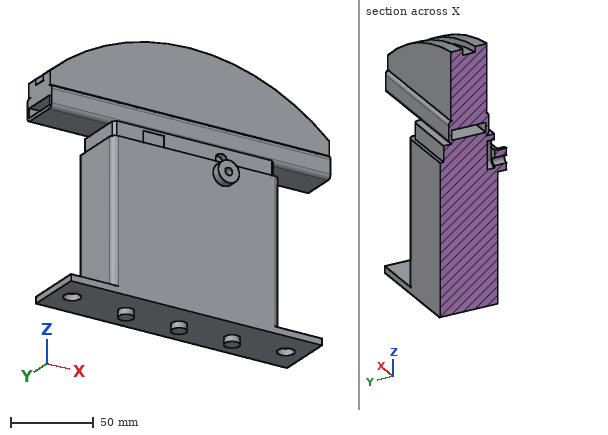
import cadquery as cq
import math

PLATE_LENGTH = 180
PLATE_WIDTH = 40
PLATE_THICKNESS = 4.5
PLATE_HOLE_DIAMETER = 11.0
PLATE_HOLE_X = 76.5
PIN_DIAMETER = 10
PIN_LENGTH = 4.5
PIN_SPACING = 38

HOUSING_LENGTH = 120
HOUSING_HEIGHT = 100
HOUSING_RADIUS = 4
HOUSING_WALL = 2.5

BLOCK_RISE = 11.0
BLOCK_CHAMFER = 2

RECESS_WIDTH = 15.0
RECESS_HEIGHT = 9.0
RECESS_X = -29.2
RECESS_DEPTH = 0.2

SLOT_WIDTH = 8
SLOT_DEPTH = 4.5
SLOT_RISE = 7.0
KNOB_X = 19.5
KNOB_DROP = 8
KNOB_DIAMETER = 15.0
KNOB_LENGTH = 6
KNOB_HOLE_DIAMETER = 5.0

RAIL_LENGTH = 200
RAIL_WIDTH = 28
RAIL_HEIGHT = 15.5
RAIL_WALL = 2.5
RAIL_RADIUS = 3.0
RAIL_MOUTH = 13.5

SHOE_WIDTH = 25.0
SHOE_RISE = 63.5
SHOE_FOOT_RISE = 8.8
SHOE_RADIUS = 150
GROOVE_WIDTH = SHOE_WIDTH / 3
GROOVE_DEPTH = 4

HOUSING_TOP = PLATE_THICKNESS + HOUSING_HEIGHT
BLOCK_TOP = HOUSING_TOP + BLOCK_RISE
BLOCK_LENGTH = HOUSING_LENGTH - 2 * HOUSING_WALL
BLOCK_WIDTH = PLATE_WIDTH - 2 * HOUSING_WALL
KNOB_Z = HOUSING_TOP - KNOB_DROP


def box(length, width, height, x, y, bottom):
    """Box centred on x and y, standing on the level `bottom`."""
    return cq.Workplane("XY", origin=(x, y, bottom)).box(length, width, height, centered=(True, True, False))


def disc_along_y(diameter, length, x, y, z):
    """Cylinder that starts at y and runs towards -Y."""
    return cq.Workplane("XZ", origin=(x, y, z)).circle(diameter / 2).extrude(length)


def make_base():
    plate = box(PLATE_LENGTH, PLATE_WIDTH, PLATE_THICKNESS, 0, 0, 0)
    hole_places = [(-PLATE_HOLE_X, 0), (PLATE_HOLE_X, 0)]
    plate = plate.faces(">Z").workplane().pushPoints(hole_places).hole(PLATE_HOLE_DIAMETER)
    pin_places = [(-PIN_SPACING, 0), (0, 0), (PIN_SPACING, 0)]
    pins = cq.Workplane("XY").pushPoints(pin_places).circle(PIN_DIAMETER / 2).extrude(-PIN_LENGTH)
    return plate.union(pins)


def make_body():
    housing = box(HOUSING_LENGTH, PLATE_WIDTH, HOUSING_HEIGHT, 0, 0, PLATE_THICKNESS)
    housing = housing.edges("|Z").fillet(HOUSING_RADIUS)
    block = box(BLOCK_LENGTH, BLOCK_WIDTH, BLOCK_RISE, 0, 0, HOUSING_TOP)
    block = block.edges("|Z").chamfer(BLOCK_CHAMFER)
    return housing.union(block)


def make_recess():
    y = RECESS_DEPTH / 2 - BLOCK_WIDTH / 2
    return box(RECESS_WIDTH, RECESS_DEPTH, RECESS_HEIGHT, RECESS_X, y, HOUSING_TOP)


def make_slot():
    front = -BLOCK_WIDTH / 2
    arch_z = HOUSING_TOP + SLOT_RISE - SLOT_WIDTH / 2
    arch = disc_along_y(SLOT_WIDTH, SLOT_DEPTH, KNOB_X, front + SLOT_DEPTH, arch_z)
    foot = disc_along_y(SLOT_WIDTH, SLOT_DEPTH, KNOB_X, front + SLOT_DEPTH, KNOB_Z)
    shank = box(SLOT_WIDTH, SLOT_DEPTH, arch_z - KNOB_Z, KNOB_X, front + SLOT_DEPTH / 2, KNOB_Z)
    return arch.union(shank).union(foot)


def make_rail():
    rail = box(RAIL_LENGTH, RAIL_WIDTH, RAIL_HEIGHT, 0, 0, BLOCK_TOP)
    rail = rail.edges("|X").fillet(RAIL_RADIUS)
    inner_width = RAIL_WIDTH - 2 * RAIL_WALL
    inner_height = RAIL_HEIGHT - 2 * RAIL_WALL
    cavity = box(RAIL_LENGTH, inner_width, inner_height, 0, 0, BLOCK_TOP + RAIL_WALL)
    mouth = box(RAIL_LENGTH, RAIL_MOUTH, RAIL_HEIGHT, 0, 0, BLOCK_TOP + RAIL_WALL)
    return rail.cut(cavity).cut(mouth)


def arched_slab(width, bottom, top):
    """Slab of the full rail length whose upper side is an arc that peaks at `top`."""
    half = RAIL_LENGTH / 2
    shoulder = top - SHOE_RADIUS + math.sqrt(SHOE_RADIUS**2 - half**2)
    return (
        cq.Workplane("XZ", origin=(0, width / 2, 0))
        .moveTo(-half, bottom)
        .lineTo(-half, shoulder)
        .threePointArc((0, top), (half, shoulder))
        .lineTo(half, bottom)
        .close()
        .extrude(width)
    )


def make_shoe():
    rail_top = BLOCK_TOP + RAIL_HEIGHT
    shoe_top = BLOCK_TOP + SHOE_RISE
    cheeks = arched_slab(SHOE_WIDTH, rail_top, shoe_top)
    groove = arched_slab(GROOVE_WIDTH, rail_top, shoe_top + GROOVE_DEPTH)
    groove = groove.cut(arched_slab(GROOVE_WIDTH, rail_top, shoe_top - GROOVE_DEPTH))
    neck = box(RAIL_LENGTH, RAIL_MOUTH, RAIL_WALL, 0, 0, rail_top - RAIL_WALL)
    foot_height = RAIL_HEIGHT - RAIL_WALL - SHOE_FOOT_RISE
    foot = box(RAIL_LENGTH, RAIL_WIDTH - 2 * RAIL_WALL, foot_height, 0, 0, BLOCK_TOP + SHOE_FOOT_RISE)
    return cheeks.cut(groove).union(neck).union(foot)


def make_knob():
    return disc_along_y(KNOB_DIAMETER, KNOB_LENGTH, KNOB_X, -PLATE_WIDTH / 2, KNOB_Z)


knob_bore = disc_along_y(
    KNOB_HOLE_DIAMETER, KNOB_LENGTH + HOUSING_WALL, KNOB_X, HOUSING_WALL - PLATE_WIDTH / 2, KNOB_Z
)
body = make_body().cut(make_recess()).cut(make_slot())
result = make_base().union(body).union(make_knob()).cut(knob_bore)
result = result.union(make_rail()).union(make_shoe())